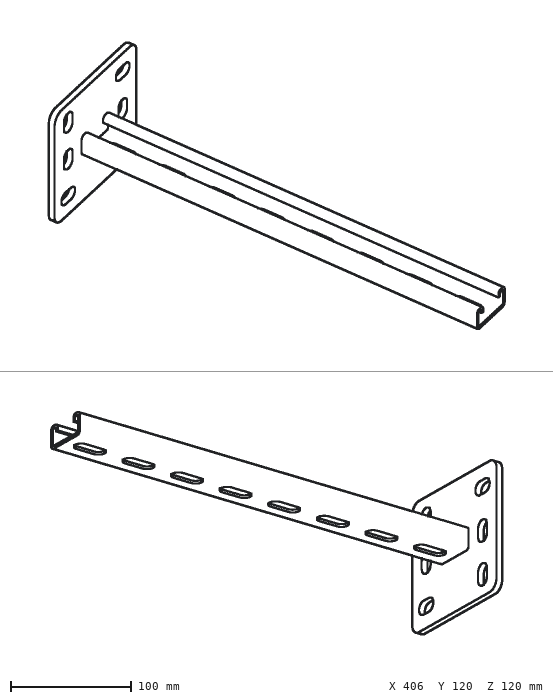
import cadquery as cq

plate_size = 120.0
plate_thickness = 6.0
plate_corner_radius = 10.0
plate_slot_length = 20.0
plate_slot_width = 12.5
plate_slot_spacing = 80.0

channel_length = 400.0
channel_width = 41.0
channel_height = 21.0
channel_center_z = 0.5
sheet_thickness = 2.5
bend_inner_radius = sheet_thickness / 2
bend_outer_radius = bend_inner_radius + sheet_thickness
opening_width = 22.0
lip_depth = 6.5

web_slot_length = 30.0
web_slot_width = 12.5
web_slot_pitch = 50.0
web_slot_count = 8

HORIZONTAL = 0
VERTICAL = 90


def make_plate():
    plate = (
        cq.Workplane("YZ")
        .rect(plate_size, plate_size)
        .extrude(plate_thickness)
        .edges("|X")
        .fillet(plate_corner_radius)
    )
    for side in (-1, 1):
        for level in (-1, 0, 1):
            direction = HORIZONTAL if side == level else VERTICAL
            slot = (
                cq.Workplane("YZ")
                .center(side * plate_slot_spacing / 2, level * plate_slot_spacing / 2)
                .slot2D(plate_slot_length, plate_slot_width, direction)
                .extrude(plate_thickness)
            )
            plate = plate.cut(slot)
    return plate


def round_bends(body, corners, radius):
    """Fillet the lengthwise channel edges that pass through the given YZ corners."""
    middle_x = plate_thickness + channel_length / 2
    for y, z in corners:
        edge = cq.NearestToPointSelector((middle_x, y, z))
        body = body.edges(edge).fillet(radius)
    return body


def make_channel_rail():
    """Bent sheet without slots: one half of the section, mirrored across the XZ plane."""
    bottom = channel_center_z - channel_height / 2
    top = channel_center_z + channel_height / 2
    outer_side = channel_width / 2
    lip_face = opening_width / 2
    inner_bottom = bottom + sheet_thickness
    inner_top = top - sheet_thickness
    inner_side = outer_side - sheet_thickness
    lip_back = lip_face + sheet_thickness
    lip_end = top - lip_depth

    outer_corners = [(outer_side, bottom), (outer_side, top), (lip_face, top)]
    inner_corners = [(lip_back, inner_top), (inner_side, inner_top), (inner_side, inner_bottom)]
    half_outline = [
        (0, bottom),
        *outer_corners,
        (lip_face, lip_end),
        (lip_back, lip_end),
        *inner_corners,
        (0, inner_bottom),
    ]
    half = (
        cq.Workplane("YZ", origin=(plate_thickness, 0, 0))
        .polyline(half_outline)
        .close()
        .extrude(channel_length)
    )
    half = round_bends(half, outer_corners, bend_outer_radius)
    half = round_bends(half, inner_corners, bend_inner_radius)
    return half.union(half.mirror("XZ"))


def make_channel():
    channel = make_channel_rail()
    web_bottom = channel_center_z - channel_height / 2
    first_slot_x = plate_thickness + web_slot_pitch / 2
    for index in range(web_slot_count):
        slot_x = first_slot_x + index * web_slot_pitch
        slot = (
            cq.Workplane("XY", origin=(slot_x, 0, web_bottom))
            .slot2D(web_slot_length, web_slot_width)
            .extrude(sheet_thickness)
        )
        channel = channel.cut(slot)
    return channel


plate = make_plate()
channel = make_channel()
result = cq.Compound.makeCompound([plate.solids().val(), channel.solids().val()])